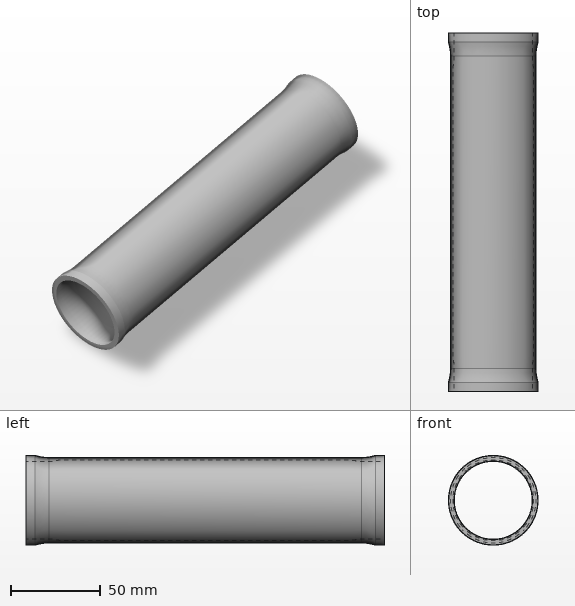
import cadquery as cq

LENGTH = 200.0
TUBE_RADIUS = 47.6 / 2
BORE_RADIUS = 45.1 / 2

RIM_RADIUS = 50.0 / 2
RIM_WIDTH = 5.0
FLARE_LENGTH = 8.0

MOUTH_RADIUS = 43.5 / 2
MOUTH_DEPTH = 15.0
WIDENING_LENGTH = 6.2

HALF_LENGTH = LENGTH / 2
RIM_INNER_Y = HALF_LENGTH - RIM_WIDTH
FLARE_INNER_Y = RIM_INNER_Y - FLARE_LENGTH
MOUTH_INNER_Y = HALF_LENGTH - MOUTH_DEPTH
WIDENING_INNER_Y = MOUTH_INNER_Y - WIDENING_LENGTH


def tangent_arc_radius(length, rise):
    """Radius of an arc that leaves a straight line tangentially and gains `rise` over `length`."""
    return (length**2 + rise**2) / (2 * rise)


def make_wall():
    """Revolve the wall section, radius along Z, fully around the Y axis."""
    flare_arc = tangent_arc_radius(FLARE_LENGTH, RIM_RADIUS - TUBE_RADIUS)
    widening_arc = tangent_arc_radius(WIDENING_LENGTH, BORE_RADIUS - MOUTH_RADIUS)
    section = (
        cq.Workplane("YZ")
        .moveTo(-HALF_LENGTH, RIM_RADIUS)
        .lineTo(-RIM_INNER_Y, RIM_RADIUS)
        .radiusArc((-FLARE_INNER_Y, TUBE_RADIUS), -flare_arc)
        .lineTo(FLARE_INNER_Y, TUBE_RADIUS)
        .radiusArc((RIM_INNER_Y, RIM_RADIUS), -flare_arc)
        .lineTo(HALF_LENGTH, RIM_RADIUS)
        .lineTo(HALF_LENGTH, MOUTH_RADIUS)
        .lineTo(MOUTH_INNER_Y, MOUTH_RADIUS)
        .radiusArc((WIDENING_INNER_Y, BORE_RADIUS), -widening_arc)
        .lineTo(-WIDENING_INNER_Y, BORE_RADIUS)
        .radiusArc((-MOUTH_INNER_Y, MOUTH_RADIUS), -widening_arc)
        .lineTo(-HALF_LENGTH, MOUTH_RADIUS)
        .close()
    )
    return section.revolve(360, (0, 0, 0), (1, 0, 0))


result = make_wall()